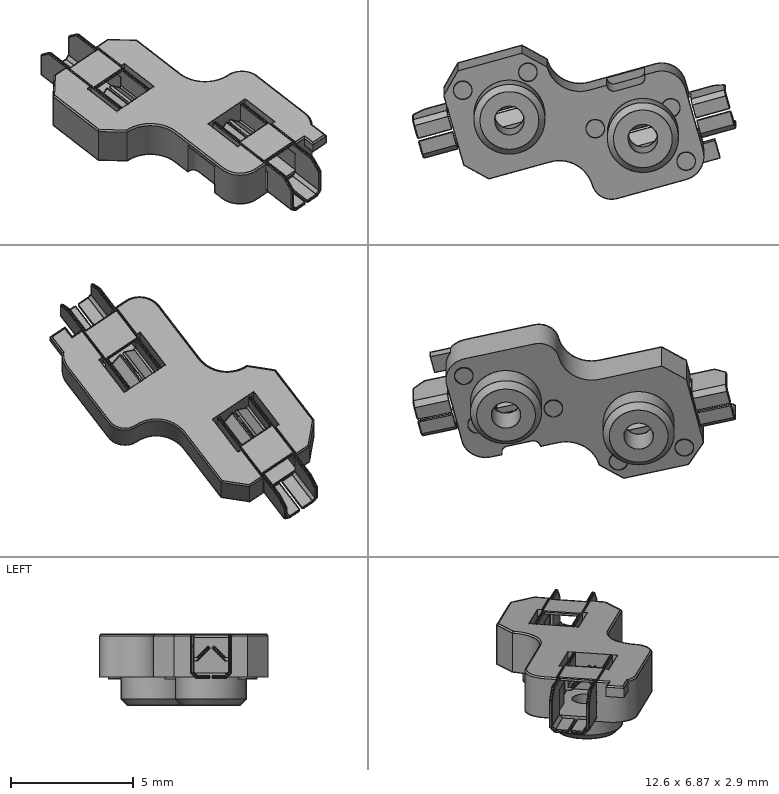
import cadquery as cq
import math


PLATE_HEIGHT = 1.75
RIM_CHAMFER = 0.06
LEFT_X, RIGHT_X = -4.79, 4.76
LOWER_LOBE_Y = (-3.44, 1.22)
UPPER_LOBE_Y = (-1.22, 3.43)
WAIST_X = (-0.42, 0.03)
CORNER_CUT = 0.83
CORNER_RADIUS = 1.0
INNER_CORNER_RADIUS = 0.83
WAIST_RADIUS = 1.39
ARC_MIDDLE = math.sqrt(0.5)

LUG_END_X = 5.27
LUG_Y = (2.43, 3.19)
LUG_HEIGHT = 0.47

SCOOP_X = (1.71, 3.31)
SCOOP_DEPTH = 0.33
SCOOP_TOP = 1.52
SCOOP_RADIUS = 0.29

PEG_DIAMETER = 2.9
PEG_LENGTH = 1.15
PEG_CHAMFER = 0.25
BORE_DIAMETER = 1.2
PEG_CENTRES = [(-2.43, -1.11), (2.6, 1.1)]
FOOT_DIAMETER = 0.75
FOOT_HEIGHT = 0.06
FOOT_CENTRES = [(-3.98, -2.62), (-1.22, -2.62), (0.78, 0.38), (3.98, 0.38), (3.98, 2.68)]

CONTACT_Y = 1.12
CONTACT_WIDTH = 1.66
SHEET = 0.13
EDGE_CHAMFER = 0.04
CLIP_X = 1.6
ROOF_X = (3.12, 4.65)
TAIL_X = 4.85
CONTACT_END_X = 6.3
CONTACT_BOTTOM = -0.05
BRIDGE_HEIGHT = 0.47
TAIL_NOSE_CUT = 0.48
TAIL_BOTTOM_CUT = 0.21
SLIT = 0.13
LEAF_ROOT_Z = 0.8
LEAF_BEND_Y = 0.6
LEAF_TIP_Y = 0.13

CAVITY_FLOOR = 0.16
CHAMBER_X = (1.52, 3.29)
CHAMBER_WIDTH = 2.07
SLOT_CHAMFER = 0.04


def box(x_range, y_range, z_range):
    size = [high - low for low, high in (x_range, y_range, z_range)]
    corner = (x_range[0], y_range[0], z_range[0])
    return cq.Workplane("XY", origin=corner).box(*size, centered=False)


def facing_pair(shape):
    """A shape and its half-turn copy about the Z axis."""
    return [shape, shape.rotate((0, 0, 0), (0, 0, 1), 180)]


def corner_arc(sketch, centre, radius, x_sign, y_sign, end):
    """Quarter arc whose middle lies in the given quadrant of its circle."""
    middle = (
        centre[0] + x_sign * radius * ARC_MIDDLE,
        centre[1] + y_sign * radius * ARC_MIDDLE,
    )
    return sketch.threePointArc(middle, end)


def make_plate():
    low_y, low_top = LOWER_LOBE_Y
    up_bottom, up_y = UPPER_LOBE_Y
    waist_right, waist_left = WAIST_X
    hollow_right = (waist_right + WAIST_RADIUS, up_bottom - WAIST_RADIUS)
    hollow_left = (waist_left - WAIST_RADIUS, low_top + WAIST_RADIUS)
    corner_x = RIGHT_X - CORNER_RADIUS
    lower_corner = (corner_x, up_bottom + CORNER_RADIUS)
    upper_corner = (corner_x, up_y - CORNER_RADIUS)
    inner_corner = (waist_left + INNER_CORNER_RADIUS, up_y - INNER_CORNER_RADIUS)

    outline = cq.Workplane("XY").moveTo(LEFT_X, low_y + CORNER_CUT)
    outline = outline.lineTo(LEFT_X + CORNER_CUT, low_y)
    outline = outline.lineTo(waist_right - CORNER_CUT, low_y)
    outline = outline.lineTo(waist_right, hollow_right[1])
    outline = corner_arc(outline, hollow_right, WAIST_RADIUS, -1, 1, (hollow_right[0], up_bottom))
    outline = outline.lineTo(corner_x, up_bottom)
    outline = corner_arc(outline, lower_corner, CORNER_RADIUS, 1, -1, (RIGHT_X, lower_corner[1]))
    outline = outline.lineTo(RIGHT_X, upper_corner[1])
    outline = corner_arc(outline, upper_corner, CORNER_RADIUS, 1, 1, (corner_x, up_y))
    outline = outline.lineTo(inner_corner[0], up_y)
    outline = corner_arc(outline, inner_corner, INNER_CORNER_RADIUS, -1, 1, (waist_left, inner_corner[1]))
    outline = corner_arc(outline, hollow_left, WAIST_RADIUS, 1, -1, (hollow_left[0], low_top))
    outline = outline.lineTo(LEFT_X + CORNER_CUT, low_top)
    outline = outline.lineTo(LEFT_X, low_top - CORNER_CUT)
    plate = outline.close().extrude(PLATE_HEIGHT)

    lug = box((corner_x, LUG_END_X), LUG_Y, (PLATE_HEIGHT - LUG_HEIGHT, PLATE_HEIGHT))
    return plate.union(lug).faces(">Z").edges().chamfer(RIM_CHAMFER)


def make_scoop():
    side_y = UPPER_LOBE_Y[0]
    scoop = box(SCOOP_X, (side_y - SCOOP_DEPTH, side_y + SCOOP_DEPTH), (0, SCOOP_TOP))
    return scoop.edges("|Z and >Y").fillet(SCOOP_RADIUS)


def make_peg(centre):
    peg = cq.Workplane("XY").center(*centre).circle(PEG_DIAMETER / 2).extrude(-PEG_LENGTH)
    return peg.faces("<Z").chamfer(PEG_CHAMFER)


def make_cavity():
    """Chamber and open-topped channel for the contact at +X."""
    z_range = (CAVITY_FLOOR, PLATE_HEIGHT)
    half_chamber = CHAMBER_WIDTH / 2
    half_channel = CONTACT_WIDTH / 2
    chamber = box(CHAMBER_X, (CONTACT_Y - half_chamber, CONTACT_Y + half_chamber), z_range)
    channel_x = (CHAMBER_X[0], CONTACT_END_X)
    channel = box(channel_x, (CONTACT_Y - half_channel, CONTACT_Y + half_channel), z_range)
    mouth = (
        cq.Workplane("YZ", origin=(CHAMBER_X[0], CONTACT_Y, 0))
        .moveTo(-half_channel, PLATE_HEIGHT - SLOT_CHAMFER)
        .lineTo(half_channel, PLATE_HEIGHT - SLOT_CHAMFER)
        .lineTo(half_channel + SLOT_CHAMFER, PLATE_HEIGHT)
        .lineTo(-half_channel - SLOT_CHAMFER, PLATE_HEIGHT)
        .close()
        .extrude(CONTACT_END_X - CHAMBER_X[0])
    )
    return chamber.union(channel).union(mouth)


def make_housing():
    housing = make_plate().cut(make_scoop())
    for cavity in facing_pair(make_cavity()):
        housing = housing.cut(cavity)
    for centre in FOOT_CENTRES:
        foot = cq.Workplane("XY").center(*centre).circle(FOOT_DIAMETER / 2).extrude(-FOOT_HEIGHT)
        housing = housing.union(foot)
    for centre in PEG_CENTRES:
        bore = (
            cq.Workplane("XY", origin=(*centre, -PEG_LENGTH))
            .circle(BORE_DIAMETER / 2)
            .extrude(PEG_LENGTH + CAVITY_FLOOR)
        )
        housing = housing.union(make_peg(centre)).cut(bore)
    return housing


def make_half_contact():
    """The +Y half of a contact centred on the X axis."""
    half_width = CONTACT_WIDTH / 2
    inner_y = half_width - SHEET
    bridge_z = PLATE_HEIGHT - BRIDGE_HEIGHT

    wall = (
        cq.Workplane("XZ", origin=(0, half_width, 0))
        .moveTo(CLIP_X, PLATE_HEIGHT)
        .lineTo(CLIP_X, LEAF_ROOT_Z - SHEET)
        .lineTo(ROOF_X[0], LEAF_ROOT_Z - SHEET)
        .lineTo(ROOF_X[0], bridge_z)
        .lineTo(TAIL_X, bridge_z)
        .lineTo(TAIL_X, CONTACT_BOTTOM + TAIL_BOTTOM_CUT)
        .lineTo(CONTACT_END_X, CONTACT_BOTTOM + TAIL_BOTTOM_CUT)
        .lineTo(CONTACT_END_X, PLATE_HEIGHT - TAIL_NOSE_CUT)
        .lineTo(CONTACT_END_X - TAIL_NOSE_CUT, PLATE_HEIGHT)
        .close()
        .extrude(SHEET)
    )

    roof = box(ROOF_X, (0, inner_y), (PLATE_HEIGHT - SHEET, PLATE_HEIGHT))

    bend_step = SHEET * math.tan(math.radians(22.5))
    bend_top = CONTACT_BOTTOM + TAIL_BOTTOM_CUT
    bend_y = half_width - TAIL_BOTTOM_CUT
    tail_floor = (
        cq.Workplane("YZ", origin=(TAIL_X, 0, 0))
        .moveTo(SLIT / 2, CONTACT_BOTTOM)
        .lineTo(bend_y, CONTACT_BOTTOM)
        .lineTo(half_width, bend_top)
        .lineTo(half_width, bend_top + bend_step)
        .lineTo(inner_y, bend_top + bend_step)
        .lineTo(bend_y - bend_step, CONTACT_BOTTOM + SHEET)
        .lineTo(SLIT / 2, CONTACT_BOTTOM + SHEET)
        .close()
        .extrude(CONTACT_END_X - TAIL_X)
    )

    tip_z = LEAF_ROOT_Z + LEAF_BEND_Y - LEAF_TIP_Y
    tip_step = SHEET * ARC_MIDDLE
    leaf = (
        cq.Workplane("YZ", origin=(CLIP_X, 0, 0))
        .moveTo(inner_y, LEAF_ROOT_Z)
        .lineTo(LEAF_BEND_Y, LEAF_ROOT_Z)
        .lineTo(LEAF_TIP_Y, tip_z)
        .lineTo(LEAF_TIP_Y - tip_step, tip_z - tip_step)
        .lineTo(LEAF_BEND_Y - bend_step, LEAF_ROOT_Z - SHEET)
        .lineTo(inner_y, LEAF_ROOT_Z - SHEET)
        .close()
        .extrude(ROOF_X[0] - CLIP_X)
        .edges("|(0,-1,1)")
        .chamfer(EDGE_CHAMFER)
    )
    return wall.union(roof).union(tail_floor).union(leaf)


def make_contact():
    """The contact at +X."""
    half = make_half_contact()
    contact = half.union(half.mirror("XZ"))
    contact = contact.faces(">Z or >X or |(1,0,1)").edges().chamfer(EDGE_CHAMFER)
    return contact.translate((0, CONTACT_Y, 0))


housing = make_housing()
contacts = facing_pair(make_contact())

result = cq.Compound.makeCompound([housing.val(), *[contact.val() for contact in contacts]])